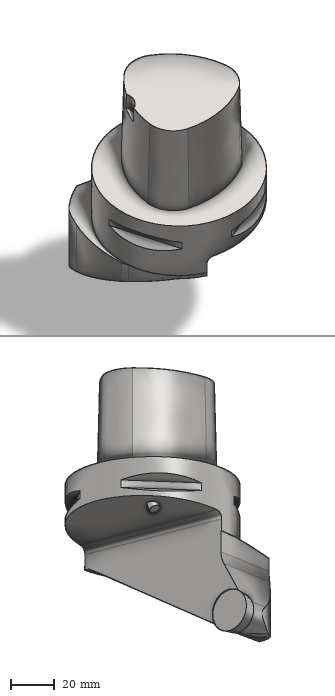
import cadquery as cq
import math


SHANK_LENGTH = 48.0
LOBE_REACH = 29.7
FLANK_REACH = 25.2
LOBE_RADIUS = 15.9
SHANK_TAPER = math.degrees(math.atan(1 / 40))
KEY_RADIUS = 7.0
KEY_DEPTH = 8.3
KEY_INNER_Y = -21.8

FLANGE_RADIUS = 80.0 / 2
FLANGE_HEIGHT = 30.5
GROOVE_Z = -12.2
GROOVE_FLOOR = 35.5
GROOVE_FLOOR_HALF = 1.8
GROOVE_MOUTH_HALF = 4.4
GROOVE_LENGTH = 76.8
GROOVE_ANGLES = (45, 135, 225, 315)

FRONT_Y = -0.5
RELIEF_OUTER_Z = -18.2
RELIEF_INNER_Z = -21.5
RELIEF_FILLET = 3.6

INSERT_X = -44.9
INSERT_Z = -70.0
INSERT_RADIUS = 10.0
INSERT_THICKNESS = 6.3
INSERT_CLEARANCE = 7
INSERT_BACK_RADIUS = INSERT_RADIUS - INSERT_THICKNESS * math.tan(math.radians(INSERT_CLEARANCE))

NOSE_RADIUS = 8.6
ARM_WALL_X = -39.7
ARM_FILLET = 11.5
ARM_SLOPE = 30
RIM_RADIUS = 40.2
RIM_BOTTOM = -32.3
RIM_START_ANGLE = -54.6
SHOULDER_SLOPE = 0.3
NOSE_SIDE_X = INSERT_X - NOSE_RADIUS
NOSE_SIDE_END_Y = -13.3
OUTER_ARC_MIDDLE = (-43.8, -31.5)
OUTER_ARC_END = (-27.4, -43.6)
CORNER_ARC_MIDDLE = (-23.3, -44.8)
FLAT_START_X = -19.0
FLAT_END_X = -12.8
FLAT_Y = -45.2
INNER_ARC_MIDDLE = (4.5, -42.4)
INNER_ARC_END = (20.6, -35.1)
ARM_SPAN = 76.8
UNDERCUT_POINT = (*OUTER_ARC_END, -69.9)
UNDERCUT_NORMAL = (0.12, -0.2, -1)

NOZZLE_RADIUS = 5.0 / 2
NOZZLE_TILT = 26
NOZZLE_X = -20.5
NOZZLE_Y = 23.9
NOZZLE_TIP_Z = -22.3
NOZZLE_LENGTH = 7.7


def polar(radius, degrees, center=(0, 0)):
    angle = math.radians(degrees)
    return (center[0] + radius * math.cos(angle), center[1] + radius * math.sin(angle))


def make_shank():
    lobe_center = LOBE_REACH - LOBE_RADIUS
    gap = FLANK_REACH - LOBE_RADIUS
    flank_center = (lobe_center**2 - gap**2) / (2 * gap - lobe_center)
    flank_radius = FLANK_REACH + flank_center
    half_angle = math.degrees(math.asin(lobe_center * math.sin(math.pi / 3) / (flank_radius - LOBE_RADIUS)))

    def flank_end(direction, side):
        center = polar(flank_center, direction + 180)
        return polar(flank_radius, direction + side * half_angle, center)

    outline = cq.Workplane("XY").moveTo(*flank_end(-90, -1))
    for direction in (-90, 30, 150):
        outline = outline.threePointArc(polar(FLANK_REACH, direction), flank_end(direction, 1))
        outline = outline.threePointArc(polar(LOBE_REACH, direction + 60), flank_end(direction + 120, -1))
    shank = outline.close().extrude(SHANK_LENGTH, taper=SHANK_TAPER)
    keyway = (
        cq.Workplane("XY", origin=(0, KEY_INNER_Y - KEY_RADIUS, SHANK_LENGTH - KEY_DEPTH))
        .circle(KEY_RADIUS)
        .extrude(KEY_DEPTH)
    )
    return shank.cut(keyway)


def make_groove(angle):
    mouth_slope = (GROOVE_MOUTH_HALF - GROOVE_FLOOR_HALF) / (FLANGE_RADIUS - GROOVE_FLOOR)
    outer = FLANGE_RADIUS + 1.3
    outer_half = GROOVE_FLOOR_HALF + mouth_slope * (outer - GROOVE_FLOOR)
    return (
        cq.Workplane("XZ")
        .polyline([
            (GROOVE_FLOOR, GROOVE_Z - GROOVE_FLOOR_HALF),
            (outer, GROOVE_Z - outer_half),
            (outer, GROOVE_Z + outer_half),
            (GROOVE_FLOOR, GROOVE_Z + GROOVE_FLOOR_HALF),
        ])
        .close()
        .extrude(GROOVE_LENGTH / 2, both=True)
        .rotate((0, 0, 0), (0, 0, 1), angle)
    )


def make_flange():
    flange = cq.Workplane("XY").circle(FLANGE_RADIUS).extrude(-FLANGE_HEIGHT)
    for angle in GROOVE_ANGLES:
        flange = flange.cut(make_groove(angle))
    relief = (
        cq.Workplane("YZ")
        .polyline([
            (FRONT_Y, RELIEF_INNER_Z),
            (FLANGE_RADIUS, RELIEF_OUTER_Z),
            (FLANGE_RADIUS, -2 * FLANGE_HEIGHT),
            (FRONT_Y, -2 * FLANGE_HEIGHT),
        ])
        .close()
        .extrude(ARM_SPAN, both=True)
        .edges(cq.selectors.NearestToPointSelector((0, FRONT_Y, RELIEF_INNER_Z)))
        .fillet(RELIEF_FILLET)
    )
    return flange.cut(relief)


def make_arm_side():
    """Arm silhouette in XZ: a round nose, a steep upper edge and a sloping underside."""
    nose = (INSERT_X, INSERT_Z)
    steep_angle = 90 - ARM_SLOPE
    upper_normal = steep_angle + 90
    lower_normal = ARM_SLOPE - 90
    nose_top = polar(NOSE_RADIUS, upper_normal, nose)
    nose_tip = polar(NOSE_RADIUS, (upper_normal + lower_normal + 360) / 2, nose)
    nose_bottom = polar(NOSE_RADIUS, lower_normal, nose)

    corner_z = nose_top[1] + (ARM_WALL_X - nose_top[0]) * math.tan(math.radians(steep_angle))
    corner = (ARM_WALL_X, corner_z)
    tangent_length = ARM_FILLET * math.tan(math.radians(ARM_SLOPE / 2))
    fillet_top = (ARM_WALL_X, corner_z + tangent_length)
    fillet_center = (ARM_WALL_X - ARM_FILLET, fillet_top[1])
    fillet_middle = polar(ARM_FILLET, -ARM_SLOPE / 2, fillet_center)
    fillet_bottom = polar(tangent_length, steep_angle + 180, corner)

    slope_end_x = nose_bottom[0] + (RIM_BOTTOM - nose_bottom[1]) / math.tan(math.radians(ARM_SLOPE))
    return (
        cq.Workplane("XZ")
        .moveTo(ARM_WALL_X, -FLANGE_HEIGHT)
        .lineTo(*fillet_top)
        .threePointArc(fillet_middle, fillet_bottom)
        .lineTo(*nose_top)
        .threePointArc(nose_tip, nose_bottom)
        .lineTo(slope_end_x, RIM_BOTTOM)
        .lineTo(ARM_SPAN, RIM_BOTTOM)
        .lineTo(ARM_SPAN, -FLANGE_HEIGHT)
        .close()
        .extrude(ARM_SPAN)
    )


def make_arm_plan():
    """Arm outline in XY, from the insert side round to the flange rim."""
    rim_end = (math.sqrt(RIM_RADIUS**2 - FRONT_Y**2), FRONT_Y)
    return (
        cq.Workplane("XY")
        .moveTo(NOSE_SIDE_X, FRONT_Y)
        .lineTo(NOSE_SIDE_X, NOSE_SIDE_END_Y)
        .threePointArc(OUTER_ARC_MIDDLE, OUTER_ARC_END)
        .threePointArc(CORNER_ARC_MIDDLE, (FLAT_START_X, FLAT_Y))
        .lineTo(FLAT_END_X, FLAT_Y)
        .threePointArc(INNER_ARC_MIDDLE, INNER_ARC_END)
        .lineTo(*polar(RIM_RADIUS, RIM_START_ANGLE))
        .threePointArc(polar(RIM_RADIUS, RIM_START_ANGLE / 2), rim_end)
        .close()
        .extrude(-2 * ARM_SPAN)
    )


def make_shoulder_envelope():
    """Everything below the conical shoulder that falls away from the flange rim."""
    outer_z = -FLANGE_HEIGHT - SHOULDER_SLOPE * (ARM_SPAN - RIM_RADIUS)
    return (
        cq.Workplane("XZ")
        .polyline([
            (0, -FLANGE_HEIGHT),
            (RIM_RADIUS, -FLANGE_HEIGHT),
            (ARM_SPAN, outer_z),
            (ARM_SPAN, -2 * ARM_SPAN),
            (0, -2 * ARM_SPAN),
        ])
        .close()
        .revolve(360, (0, 0, 0), (0, 1, 0))
    )


def make_arm():
    arm = make_arm_side().intersect(make_arm_plan()).intersect(make_shoulder_envelope())
    undercut = (
        cq.Workplane(cq.Plane(origin=UNDERCUT_POINT, normal=UNDERCUT_NORMAL))
        .rect(2 * ARM_SPAN, 2 * ARM_SPAN)
        .extrude(ARM_SPAN)
    )
    return arm.cut(undercut)


def make_nozzle():
    tilt = math.radians(NOZZLE_TILT)
    inward = (math.sin(tilt), 0, math.cos(tilt))
    tip = cq.Plane(origin=(NOZZLE_X, NOZZLE_Y, NOZZLE_TIP_Z), normal=inward)
    return cq.Workplane(tip).circle(NOZZLE_RADIUS).extrude(NOZZLE_LENGTH)


def make_insert():
    return cq.Workplane(cq.Solid.makeCone(
        INSERT_RADIUS, INSERT_BACK_RADIUS, INSERT_THICKNESS,
        pnt=cq.Vector(INSERT_X, 0, INSERT_Z), dir=cq.Vector(0, -1, 0),
    ))


insert = make_insert()
holder = make_shank().union(make_flange()).union(make_arm()).union(make_nozzle()).cut(insert)

result = cq.Compound.makeCompound([holder.val(), insert.val()])